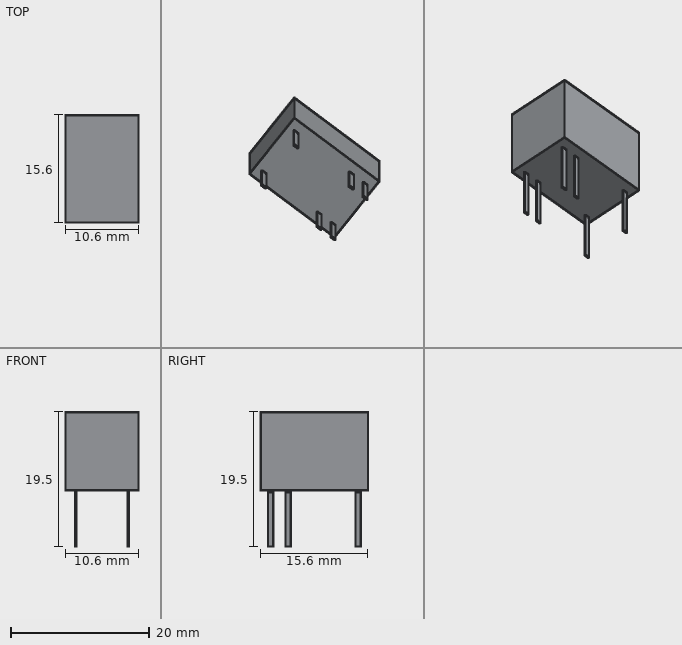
import cadquery as cq

OVERALL_HEIGHT = 19.48

HOUSING_X = 10.6
HOUSING_Y = 15.55
HOUSING_HEIGHT = 11.34

PIN_GAP = 0.3
PIN_THICKNESS = 0.2
PIN_WIDTH = 0.78
PIN_LENGTH = OVERALL_HEIGHT - HOUSING_HEIGHT - PIN_GAP

GRID_PITCH = 2.53
ROW_SPACING = 3 * GRID_PITCH
ROW_LENGTH = 5 * GRID_PITCH
FRONT_PIN_Y = -ROW_LENGTH / 2
PIN_X_POSITIONS = (-ROW_SPACING / 2, ROW_SPACING / 2)
PIN_Y_POSITIONS = (FRONT_PIN_Y, FRONT_PIN_Y + GRID_PITCH, ROW_LENGTH / 2)


def make_housing():
    """Box centred on the Z axis, with its underside at Z = 0."""
    return cq.Workplane("XY").box(HOUSING_X, HOUSING_Y, HOUSING_HEIGHT, centered=(True, True, False))


def make_pin(x, y):
    """Flat pin centred on (x, y), hanging down from below the gap."""
    return (
        cq.Workplane("XY", origin=(x, y, -PIN_GAP))
        .rect(PIN_THICKNESS, PIN_WIDTH)
        .extrude(-PIN_LENGTH)
    )


housing = make_housing()

pins = []
for pin_x in PIN_X_POSITIONS:
    for pin_y in PIN_Y_POSITIONS:
        pins.append(make_pin(pin_x, pin_y).val())

result = cq.Compound.makeCompound([housing.val(), *pins])